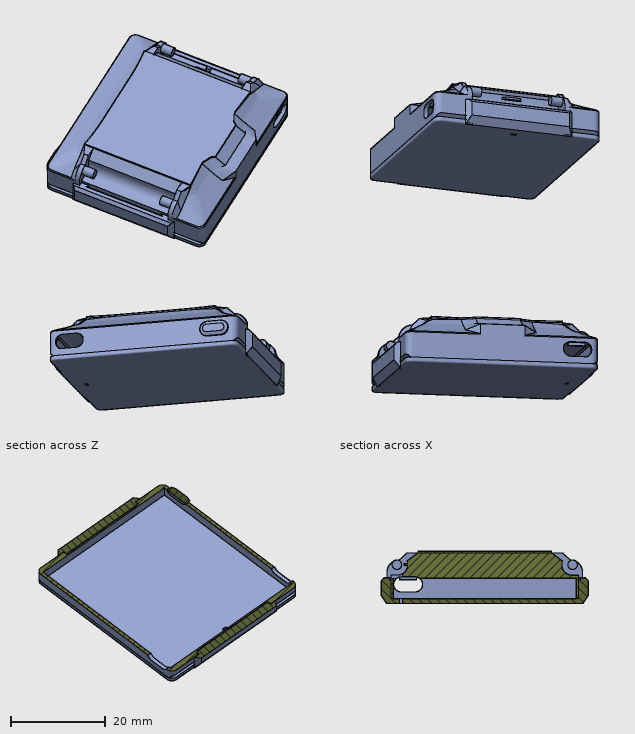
import cadquery as cq
import math


CASE_WIDTH = 37.15
CASE_LENGTH = 41.35
TOTAL_HEIGHT = 11.05
CASE_CORNER_RADIUS = 1.45
HALF_WIDTH = CASE_WIDTH / 2
HALF_LENGTH = CASE_LENGTH / 2

COVER_THICKNESS = 1.05
SCREEN_THICKNESS = 0.35
WALL_TOP = 6.48
HOUSING_TOP = TOTAL_HEIGHT - SCREEN_THICKNESS

RIM = (6.75, 0.18, CASE_CORNER_RADIUS)
LOWER_SLOPE = (7.6, 1.75, 2.05)
UPPER_SLOPE = (9.25, 4.55, 2.28)
SHELL_TOP = (HOUSING_TOP, 6.55, 0.25)

CAVITY_TOP = 5.35
SIDE_WALL = 0.9
END_WALL = 1.4
BOTTOM_CHAMFER = 0.88
LEDGE_LENGTH = 3.6
LEDGE_DROP = 0.35
LEDGE_WIDTH = 0.88

BULGE_HALF_LENGTH = 4.8
BULGE_RUNOUT = 2.8
BULGE_TOP_EDGE = 13.8
BULGE_MIDDLE_EDGE = 16.05
BULGE_OUTER_HEIGHT = 8.7
RUNOUT_STEPS = [(0.0, 0.0), (0.52, 0.78), (1.0, 1.0)]

SCREEN_HALF_LENGTH = 14.15
SCREEN_END_HALF_WIDTH = 12.5
SCREEN_WAIST_HALF_WIDTH = HALF_WIDTH - SHELL_TOP[1]
WAIST_HALF_LENGTH = 6.82
PEDESTAL_HEIGHT = 0.52

RECESS_HALF_WIDTH = 10.4
RECESS_WALL_Y = 16.3
RECESS_FLOOR = 6.05
RECESS_ROUND = 2.0
NOTCH_Y = 19.8
LUG_OUTER_X = 11.45
FLARE_OUTER_X = 12.6
LUG_ROUND = 2.62
LUG_TOP_Y = 16.4
PIN_DIAMETER = 2.0
PIN_LENGTH = 2.55
PIN_Y = 18.55
PIN_Z = 8.22

DRAIN_WIDTH = 1.0
DRAIN_START_Y = 17.4
DRAIN_HOLE_LENGTH = 0.55
TAB_HALF_WIDTH = 2.2
TAB_CHAMFER = 0.52
TAB_REACH = 0.7
TAB_THICKNESS = 0.45

OPENING_HEIGHT = 3.15
OPENING_LENGTH = 6.1
OPENING_Z = 4.045
OPENING_Y = 16.2
BUTTON_LENGTH = 6.15
BUTTON_Y = -15.65
BUTTON_PROTRUSION = 37.98 - CASE_WIDTH
BUTTON_BEVEL_DEPTH = 0.4
BUTTON_BEVEL_WIDTH = 0.75

COVER_EDGE_ROUND = 0.35
CLIP_OUTER_Y = 21.88
CLIP_TOP = 5.45
CLIP_ROOT_HALF_WIDTH = 12.0
CLIP_FACE_HALF_WIDTH = 11.0
CLIP_TOP_CHAMFER = 0.65
CLIP_BOTTOM_Y = 20.75
CLIP_BOTTOM_SLOPE_TOP = 1.75
CLIP_INNER_CHAMFER = 0.55
LIP_HALF_WIDTH = 8.45


def on_both_ends(body):
    """The body at the -Y end together with its mirror image at the +Y end."""
    return body.union(body.mirror("XZ"))


def on_both_sides(body):
    """The body together with its mirror image on the other X side."""
    return body.union(body.mirror("YZ"))


def box(x_min, x_max, y_min, y_max, z_min, z_max):
    size = (x_max - x_min, y_max - y_min, z_max - z_min)
    return cq.Workplane("XY", origin=(x_min, y_min, z_min)).box(*size, centered=False)


def along_x(sketch_x_start):
    """Workplane whose local axes are Y and Z, extruding toward +X."""
    return cq.Workplane("YZ", origin=(sketch_x_start, 0, 0))


def outline_wire(height, inset, radius):
    """Rounded rectangle parallel to the case outline."""
    sketch = cq.Sketch().rect(CASE_WIDTH - 2 * inset, CASE_LENGTH - 2 * inset).vertices().fillet(radius)
    return cq.Workplane("XY", origin=(0, 0, height)).placeSketch(sketch).extrude(0.45).faces("<Z").wires().val()


def case_prism(z_min, z_max):
    blank = cq.Workplane("XY", origin=(0, 0, z_min)).rect(CASE_WIDTH, CASE_LENGTH).extrude(z_max - z_min)
    return blank.edges("|Z").fillet(CASE_CORNER_RADIUS)


def sloped_shell():
    levels = [(WALL_TOP, 0.0, CASE_CORNER_RADIUS), RIM, LOWER_SLOPE, UPPER_SLOPE, SHELL_TOP]
    shell = case_prism(COVER_THICKNESS, WALL_TOP)
    for lower, upper in zip(levels, levels[1:]):
        layer = cq.Solid.makeLoft([outline_wire(*lower), outline_wire(*upper)], True)
        shell = shell.union(cq.Workplane(layer))
    return shell


def bulge_wire(top_growth, share, y):
    """XZ section of the +X side: plain slope at share 0, full bulge at share 1.

    The top edge follows its own growth, which gives the screen a rounded corner there.
    """
    def blend(plain, grown):
        return plain + share * (grown - plain)

    core_x = SCREEN_WAIST_HALF_WIDTH - SIDE_WALL
    points = [
        (core_x, WALL_TOP),
        (core_x, HOUSING_TOP),
        (top_edge_x(top_growth), HOUSING_TOP),
        (blend(HALF_WIDTH - UPPER_SLOPE[1], BULGE_MIDDLE_EDGE), UPPER_SLOPE[0]),
        (blend(HALF_WIDTH - LOWER_SLOPE[1], HALF_WIDTH), blend(LOWER_SLOPE[0], BULGE_OUTER_HEIGHT)),
        (blend(HALF_WIDTH - LOWER_SLOPE[1], HALF_WIDTH), WALL_TOP),
    ]
    return cq.Wire.makePolygon([cq.Vector(x, y, z) for x, z in points], close=True)


def top_edge_x(growth):
    return SCREEN_WAIST_HALF_WIDTH + growth * (BULGE_TOP_EDGE - SCREEN_WAIST_HALF_WIDTH)


def runout_y(share):
    return BULGE_HALF_LENGTH + BULGE_RUNOUT * (1 - share)


def side_bulge():
    stations = [(growth, share, -runout_y(share)) for growth, share in RUNOUT_STEPS]
    stations += [(growth, share, -y) for growth, share, y in reversed(stations)]
    bulge = cq.Workplane("XY")
    for start, end in zip(stations, stations[1:]):
        bulge = bulge.union(cq.Workplane(cq.Solid.makeLoft([bulge_wire(*start), bulge_wire(*end)], True)))
    return bulge


def screen_prism(z_min, z_max):
    """Screen outline: waisted sides, with a widening above the side bulge on +X."""
    waist, end_x, end_y = SCREEN_WAIST_HALF_WIDTH, SCREEN_END_HALF_WIDTH, SCREEN_HALF_LENGTH
    widening = [(top_edge_x(growth), -runout_y(share)) for growth, share in RUNOUT_STEPS]
    widening += [(x, -y) for x, y in reversed(widening)]
    outline = cq.Workplane("XY", origin=(0, 0, z_min)).moveTo(-end_x, -end_y).lineTo(end_x, -end_y)
    for x, y in widening:
        outline = outline.lineTo(x, y)
    outline = outline.lineTo(end_x, end_y).lineTo(-end_x, end_y)
    side_mid_y = (WAIST_HALF_LENGTH + end_y) / 2
    side_mid_x = waist + (end_x - waist) / 4
    outline = outline.threePointArc((-side_mid_x, side_mid_y), (-waist, WAIST_HALF_LENGTH))
    outline = outline.lineTo(-waist, -WAIST_HALF_LENGTH)
    outline = outline.threePointArc((-side_mid_x, -side_mid_y), (-end_x, -end_y))
    return outline.close().extrude(z_max - z_min)


def lug_profile(plane):
    round_center_y = HALF_LENGTH - LUG_ROUND
    round_center_z = UPPER_SLOPE[0] - LUG_ROUND
    round_mid = LUG_ROUND * math.sqrt(0.5)
    return (
        plane.moveTo(-SCREEN_HALF_LENGTH, RECESS_FLOOR)
        .lineTo(-HALF_LENGTH, RECESS_FLOOR)
        .lineTo(-HALF_LENGTH, round_center_z)
        .threePointArc(
            (-round_center_y - round_mid, round_center_z + round_mid), (-round_center_y, UPPER_SLOPE[0])
        )
        .lineTo(-LUG_TOP_Y, HOUSING_TOP)
        .lineTo(-SCREEN_HALF_LENGTH, HOUSING_TOP)
        .close()
    )


def flare_profile(plane):
    """Outer foot of the lug, lying on the sloped shell with one corner per corner of the lug."""
    return (
        plane.moveTo(-SCREEN_HALF_LENGTH, RECESS_FLOOR)
        .lineTo(-HALF_LENGTH, RECESS_FLOOR)
        .lineTo(-HALF_LENGTH, WALL_TOP)
        .lineTo(-HALF_LENGTH + LOWER_SLOPE[1], LOWER_SLOPE[0])
        .lineTo(-HALF_LENGTH + UPPER_SLOPE[1], UPPER_SLOPE[0])
        .lineTo(-SCREEN_HALF_LENGTH, HOUSING_TOP)
        .close()
    )


def lugs():
    cheek = lug_profile(along_x(RECESS_HALF_WIDTH)).extrude(LUG_OUTER_X - RECESS_HALF_WIDTH)
    inner = lug_profile(along_x(LUG_OUTER_X)).wires().val()
    outer = flare_profile(along_x(FLARE_OUTER_X)).wires().val()
    flare = cq.Workplane(cq.Solid.makeLoft([inner, outer], True))
    gusset_points = [
        (LUG_OUTER_X, -LUG_TOP_Y),
        (SCREEN_END_HALF_WIDTH, -SCREEN_HALF_LENGTH),
        (LUG_OUTER_X, -SCREEN_HALF_LENGTH),
    ]
    gusset = cq.Workplane("XY", origin=(0, 0, HOUSING_TOP)).polyline(gusset_points).close()
    gusset = gusset.extrude(UPPER_SLOPE[0] - HOUSING_TOP)
    return on_both_ends(on_both_sides(cheek.union(flare).union(gusset)))


def strap_recesses():
    """Cut between the lugs: upright wall, rounded into a flat floor, open at the end."""
    round_mid = RECESS_ROUND * math.sqrt(0.5)
    round_center_y = RECESS_WALL_Y + RECESS_ROUND
    round_center_z = RECESS_FLOOR + RECESS_ROUND
    profile = (
        along_x(-RECESS_HALF_WIDTH)
        .moveTo(-RECESS_WALL_Y, TOTAL_HEIGHT)
        .lineTo(-RECESS_WALL_Y, round_center_z)
        .threePointArc(
            (-round_center_y + round_mid, round_center_z - round_mid), (-round_center_y, RECESS_FLOOR)
        )
        .lineTo(-NOTCH_Y, RECESS_FLOOR)
        .lineTo(-NOTCH_Y, 0)
        .lineTo(-CLIP_OUTER_Y, 0)
        .lineTo(-CLIP_OUTER_Y, TOTAL_HEIGHT)
        .close()
    )
    return on_both_ends(profile.extrude(2 * RECESS_HALF_WIDTH))


def strap_pins():
    pin = along_x(RECESS_HALF_WIDTH - PIN_LENGTH).center(-PIN_Y, PIN_Z).circle(PIN_DIAMETER / 2)
    return on_both_ends(on_both_sides(pin.extrude(PIN_LENGTH)))


def bottom_chamfers():
    wedge = (
        along_x(-HALF_WIDTH)
        .moveTo(-HALF_LENGTH, COVER_THICKNESS)
        .lineTo(-HALF_LENGTH, COVER_THICKNESS + BOTTOM_CHAMFER)
        .lineTo(-HALF_LENGTH + BOTTOM_CHAMFER, COVER_THICKNESS)
        .close()
        .extrude(CASE_WIDTH)
    )
    return on_both_ends(wedge)


def cavity_ledge():
    """Low ledge on the cavity ceiling, against the +X wall beside the through opening."""
    wall_x = HALF_WIDTH - SIDE_WALL
    y_min = OPENING_Y - LEDGE_LENGTH / 2
    y_max = OPENING_Y + LEDGE_LENGTH / 2
    ceiling_z = OPENING_Z + OPENING_HEIGHT / 2
    return box(wall_x - LEDGE_WIDTH, wall_x, y_min, y_max, CAVITY_TOP - LEDGE_DROP, ceiling_z)


def recess_tab():
    """Thin lip with chamfered corners on the wall of the +Y recess."""
    tip_y = RECESS_WALL_Y + TAB_REACH
    top_z = RECESS_FLOOR + RECESS_ROUND + TAB_THICKNESS
    points = [
        (-TAB_HALF_WIDTH, SCREEN_HALF_LENGTH),
        (-TAB_HALF_WIDTH, RECESS_WALL_Y),
        (-TAB_HALF_WIDTH + TAB_CHAMFER, tip_y),
        (TAB_HALF_WIDTH - TAB_CHAMFER, tip_y),
        (TAB_HALF_WIDTH, RECESS_WALL_Y),
        (TAB_HALF_WIDTH, SCREEN_HALF_LENGTH),
    ]
    return cq.Workplane("XY", origin=(0, 0, top_z)).polyline(points).close().extrude(-TAB_THICKNESS)


def drain(y_end, z_min, z_max):
    return box(-DRAIN_WIDTH / 2, DRAIN_WIDTH / 2, DRAIN_START_Y, y_end, z_min, z_max)


def side_slot(x_start, y, length, depth):
    return along_x(x_start).center(y, OPENING_Z).slot2D(length, OPENING_HEIGHT).extrude(depth)


def make_housing():
    body = sloped_shell().union(side_bulge())
    body = body.union(screen_prism(HOUSING_TOP - PEDESTAL_HEIGHT, HOUSING_TOP))
    body = body.union(lugs())
    body = body.cut(strap_recesses()).union(strap_pins()).union(recess_tab())
    inner_x = HALF_WIDTH - SIDE_WALL
    inner_y = HALF_LENGTH - END_WALL
    body = body.cut(box(-inner_x, inner_x, -inner_y, inner_y, COVER_THICKNESS, CAVITY_TOP))
    body = body.cut(bottom_chamfers())
    body = body.cut(side_slot(-HALF_WIDTH, OPENING_Y, OPENING_LENGTH, CASE_WIDTH))
    body = body.cut(side_slot(-HALF_WIDTH, BUTTON_Y, BUTTON_LENGTH, SIDE_WALL))
    body = body.union(cavity_ledge())
    return body.cut(drain(NOTCH_Y, CAVITY_TOP, RECESS_FLOOR + RECESS_ROUND))


def clip_lip():
    """Sloped cut along the inner top edge of the -Y clip, with mitred ends."""
    slope = (
        along_x(-RECESS_HALF_WIDTH)
        .moveTo(-NOTCH_Y, CLIP_TOP)
        .lineTo(-NOTCH_Y - CLIP_INNER_CHAMFER, CLIP_TOP)
        .lineTo(-NOTCH_Y, CLIP_TOP - CLIP_INNER_CHAMFER)
        .close()
        .extrude(2 * RECESS_HALF_WIDTH)
    )
    lip_outer_y = NOTCH_Y + CLIP_INNER_CHAMFER
    lip_outer_half_width = LIP_HALF_WIDTH + CLIP_INNER_CHAMFER
    plan_points = [
        (-lip_outer_half_width, -lip_outer_y),
        (-LIP_HALF_WIDTH, -NOTCH_Y),
        (LIP_HALF_WIDTH, -NOTCH_Y),
        (lip_outer_half_width, -lip_outer_y),
    ]
    return slope.intersect(cq.Workplane("XY").polyline(plan_points).close().extrude(CLIP_TOP))


def cover_clip():
    """Clip at the -Y end: upright bar with bevelled outer edges and a sloped inner lip."""
    profile = (
        along_x(-CLIP_ROOT_HALF_WIDTH)
        .moveTo(-NOTCH_Y, 0)
        .lineTo(-CLIP_BOTTOM_Y, 0)
        .lineTo(-CLIP_OUTER_Y, CLIP_BOTTOM_SLOPE_TOP)
        .lineTo(-CLIP_OUTER_Y, CLIP_TOP - CLIP_TOP_CHAMFER)
        .lineTo(-CLIP_OUTER_Y + CLIP_TOP_CHAMFER, CLIP_TOP)
        .lineTo(-NOTCH_Y, CLIP_TOP)
        .close()
        .extrude(2 * CLIP_ROOT_HALF_WIDTH)
    )
    bar_points = [
        (-CLIP_ROOT_HALF_WIDTH, -HALF_LENGTH),
        (-CLIP_FACE_HALF_WIDTH, -CLIP_OUTER_Y),
        (CLIP_FACE_HALF_WIDTH, -CLIP_OUTER_Y),
        (CLIP_ROOT_HALF_WIDTH, -HALF_LENGTH),
    ]
    bar = cq.Workplane("XY").polyline(bar_points).close().extrude(CLIP_TOP)
    tongue = box(-RECESS_HALF_WIDTH, RECESS_HALF_WIDTH, -HALF_LENGTH, -NOTCH_Y, 0, CLIP_TOP)
    return profile.intersect(bar.union(tongue)).cut(clip_lip())


def make_cover():
    plate = case_prism(0, COVER_THICKNESS).faces("<Z").edges().fillet(COVER_EDGE_ROUND)
    hole = drain(DRAIN_START_Y + DRAIN_HOLE_LENGTH, 0, COVER_THICKNESS)
    return plate.union(on_both_ends(cover_clip())).cut(hole)


def make_button():
    """Slot-shaped plug through the -X wall, bevelled around its outer face."""
    stem_x = -HALF_WIDTH - BUTTON_PROTRUSION + BUTTON_BEVEL_DEPTH
    stem_length = BUTTON_PROTRUSION - BUTTON_BEVEL_DEPTH + SIDE_WALL
    stem = side_slot(stem_x, BUTTON_Y, BUTTON_LENGTH, stem_length)
    bevel_angle = math.degrees(math.atan2(BUTTON_BEVEL_WIDTH, BUTTON_BEVEL_DEPTH))
    face = along_x(stem_x).center(BUTTON_Y, OPENING_Z).slot2D(BUTTON_LENGTH, OPENING_HEIGHT)
    return stem.union(face.extrude(-BUTTON_BEVEL_DEPTH, taper=bevel_angle))


def make_screen():
    return screen_prism(HOUSING_TOP, TOTAL_HEIGHT)


housing = make_housing()
cover = make_cover()
button = make_button()
screen = make_screen()

result = cq.Compound.makeCompound([housing.val(), cover.val(), button.val(), screen.val()])